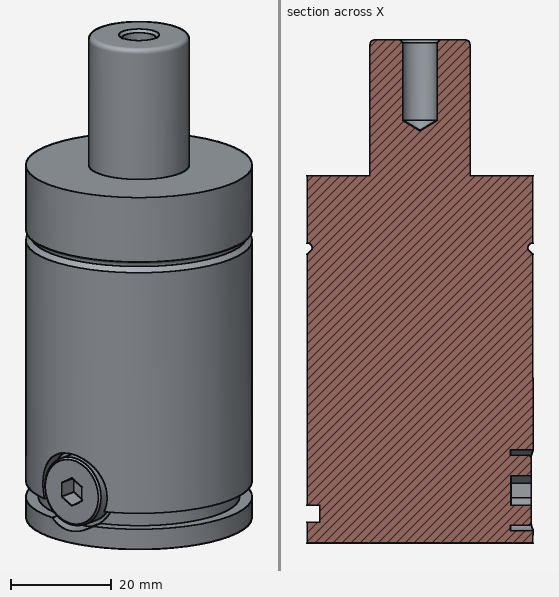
import cadquery as cq
import math

total_height = 100
body_radius = 22.5
body_height = 73
rod_radius = 10
rod_edge_radius = 1

foot_height = 4.2
foot_groove_top = 7.5
foot_groove_radius = 20

upper_groove_top = 59.6
upper_groove_depth = 1
upper_groove_land = 0.2

rod_hole_radius = 3.4
rod_hole_mouth_radius = 4
rod_hole_depth = 16
drill_point_angle = 118

plug_height = 10.5
seat_radius = 8
seat_distance = 18
plug_radius = 7
plug_chamfer = 0.4
plug_distance = 22.1
hex_across_flats = 5
hex_depth = 4


def make_body():
    """Revolve the outer profile, including both grooves."""
    arc_middle_offset = upper_groove_depth * math.sqrt(0.5)
    arc_center_z = upper_groove_top - upper_groove_depth
    flank_top = arc_center_z - upper_groove_land
    return (
        cq.Workplane("XZ")
        .lineTo(body_radius, 0)
        .lineTo(body_radius, foot_height)
        .lineTo(foot_groove_radius, foot_height)
        .lineTo(foot_groove_radius, foot_groove_top)
        .lineTo(body_radius, foot_groove_top)
        .lineTo(body_radius, flank_top - upper_groove_depth)
        .lineTo(body_radius - upper_groove_depth, flank_top)
        .lineTo(body_radius - upper_groove_depth, arc_center_z)
        .threePointArc(
            (body_radius - arc_middle_offset, arc_center_z + arc_middle_offset),
            (body_radius, upper_groove_top),
        )
        .lineTo(body_radius, body_height)
        .lineTo(0, body_height)
        .close()
        .revolve(360, (0, 0), (0, 1))
    )


def make_rod():
    """Round rod with a rounded upper rim, running up from the body top."""
    rod = cq.Workplane("XY").workplane(offset=body_height).circle(rod_radius)
    return rod.extrude(total_height - body_height).faces(">Z").edges().fillet(rod_edge_radius)


def make_rod_hole():
    """Drilled hole with a chamfered mouth and a conical bottom."""
    mouth_depth = rod_hole_mouth_radius - rod_hole_radius
    point_depth = rod_hole_radius / math.tan(math.radians(drill_point_angle / 2))
    hole_bottom = total_height - rod_hole_depth
    return (
        cq.Workplane("XZ")
        .moveTo(0, total_height)
        .lineTo(rod_hole_mouth_radius, total_height)
        .lineTo(rod_hole_radius, total_height - mouth_depth)
        .lineTo(rod_hole_radius, hole_bottom)
        .lineTo(0, hole_bottom - point_depth)
        .close()
        .revolve(360, (0, 0), (0, 1))
    )


def plug_plane(distance):
    """Workplane facing -Y, centred on the plug at a distance from the body axis."""
    return cq.Workplane("XZ", origin=(0, -distance, plug_height))


def add_plug(body):
    """Sink a flat round seat into the wall, leaving a ring gap around a hex socket plug."""
    seat_cut = plug_plane(seat_distance).circle(seat_radius).extrude(body_radius - seat_distance)
    plug = plug_plane(seat_distance).circle(plug_radius).extrude(plug_distance - seat_distance)
    plug = plug.faces("<Y").edges().chamfer(plug_chamfer)
    hex_across_corners = hex_across_flats / math.cos(math.pi / 6)
    socket = (
        plug_plane(plug_distance)
        .transformed(rotate=(0, 0, 90))
        .polygon(6, hex_across_corners)
        .extrude(-hex_depth)
    )
    return body.cut(seat_cut).union(plug).cut(socket)


result = add_plug(make_body()).union(make_rod()).cut(make_rod_hole())